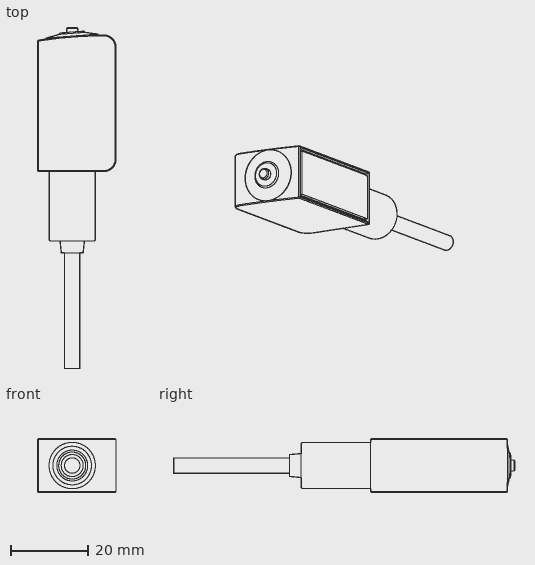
import cadquery as cq
import math

width = 20.35
height = 14.0
x_min = -9.0
x_max = x_min + width
short_side = 34.0
long_side = 35.4
corner_radius = 3.2
edge_chamfer = 0.25

window_margin = 0.5
groove_width = 0.75
groove_depth = 1.0

bezel_radius = 6.75
bezel_cone_height = 0.7
bezel_height = 1.05
bezel_skirt = 1.0
crown_base_radius = 3.5
crown_top_radius = 3.1
pin_radius = 1.45
pin_end_chamfer = 0.3
tip_y = 37.35

sleeve_radius = 6.0
sleeve_length = 18.0
sleeve_fillet = 0.5
mouth_radius = 5.0
mouth_floor_radius = 4.0
mouth_depth = 3.0

relief_base_radius = 3.5
relief_tip_radius = 2.85
relief_overhang = 3.0
cable_radius = 2.0
cable_length = 30.0

crest_x = x_max - corner_radius
arc_run = crest_x - x_min
arc_rise = long_side - short_side
end_arc_radius = (arc_run**2 + arc_rise**2) / (2 * arc_rise)
end_arc_center_y = long_side - end_arc_radius


def end_arc_y(x):
    """Y of the curved end at a given X."""
    return end_arc_center_y + math.sqrt(end_arc_radius**2 - (x - crest_x) ** 2)


def revolve_about_y(points):
    """Solid of revolution about Y from (radius, y) points."""
    return cq.Workplane("XY").polyline(points).close().revolve(360, (0, 0, 0), (0, 1, 0))


def make_housing():
    middle_x = (x_min + crest_x) / 2
    diagonal = corner_radius * math.sqrt(0.5)
    low_center_y = corner_radius
    high_center_y = long_side - corner_radius
    outline = (
        cq.Workplane("XY")
        .workplane(offset=-height / 2)
        .moveTo(x_min, 0)
        .lineTo(crest_x, 0)
        .threePointArc((crest_x + diagonal, low_center_y - diagonal), (x_max, low_center_y))
        .lineTo(x_max, high_center_y)
        .threePointArc((crest_x + diagonal, high_center_y + diagonal), (crest_x, long_side))
        .threePointArc((middle_x, end_arc_y(middle_x)), (x_min, short_side))
        .close()
    )
    housing = outline.extrude(height)
    return housing.faces("|Z or <X").edges().chamfer(edge_chamfer)


def window_block(margin):
    """Block reaching from the -X side to the groove floor, inset by the given margin."""
    length = short_side - 2 * margin
    block_height = height - 2 * margin
    block = cq.Workplane("XY").box(groove_depth, length, block_height, centered=(False, False, True))
    return block.translate((x_min, margin, 0))


def make_window_groove():
    return window_block(window_margin).cut(window_block(window_margin + groove_width))


def make_bezel():
    """Low cone with a chamfered flat crown, square to the curved end where the Y axis meets it."""
    bezel = revolve_about_y([
        (0, -bezel_skirt),
        (bezel_radius, -bezel_skirt),
        (bezel_radius, 0),
        (crown_base_radius, bezel_cone_height),
        (crown_top_radius, bezel_height),
        (0, bezel_height),
    ])
    tilt = math.degrees(math.asin(crest_x / end_arc_radius))
    return bezel.rotate((0, 0, 0), (0, 0, 1), tilt).translate((0, end_arc_y(0), 0))


def make_pin():
    """Pin along the Y axis, rising from the curved end through the bezel."""
    base_y = end_arc_y(0)
    return revolve_about_y([
        (0, base_y),
        (pin_radius, base_y),
        (pin_radius, tip_y - pin_end_chamfer),
        (pin_radius - pin_end_chamfer, tip_y),
        (0, tip_y),
    ])


def make_sleeve():
    sleeve = revolve_about_y([
        (0, 0),
        (sleeve_radius, 0),
        (sleeve_radius, -sleeve_length),
        (0, -sleeve_length),
    ])
    sleeve = sleeve.faces("<Y").edges().fillet(sleeve_fillet)
    mouth = revolve_about_y([
        (0, -sleeve_length),
        (mouth_radius, -sleeve_length),
        (mouth_floor_radius, mouth_depth - sleeve_length),
        (0, mouth_depth - sleeve_length),
    ])
    return sleeve.cut(mouth)


def make_cable():
    floor_y = mouth_depth - sleeve_length
    relief_tip_y = -sleeve_length - relief_overhang
    cable_end_y = relief_tip_y - cable_length
    return revolve_about_y([
        (0, floor_y),
        (relief_base_radius, floor_y),
        (relief_tip_radius, relief_tip_y),
        (cable_radius, relief_tip_y),
        (cable_radius, cable_end_y),
        (0, cable_end_y),
    ])


result = make_housing().cut(make_window_groove())
result = result.union(make_bezel()).union(make_pin())
result = result.union(make_sleeve()).union(make_cable())